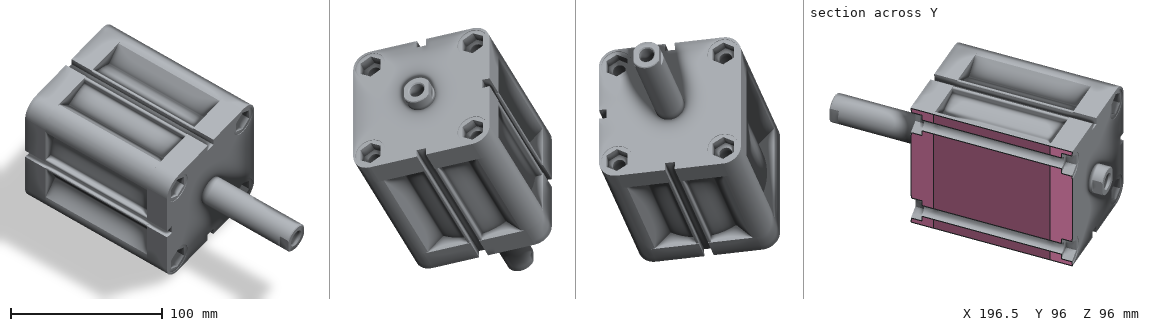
import cadquery as cq
import math


BODY_WIDTH = 96.0
CORNER_RADIUS = 12.0
CAP_THICKNESS = 16.7
TUBE_LENGTH = 83.3
HALF_WIDTH = BODY_WIDTH / 2
BODY_LENGTH = 2 * CAP_THICKNESS + TUBE_LENGTH

POST_CENTRE = HALF_WIDTH - CORNER_RADIUS

SCREW_OFFSET = 36.0
SCREW_HOLE_DIAMETER = 8.6
SEAT_DIAMETER = 20.8
SEAT_DEPTH = 0.4
HEX_ACROSS_FLATS = 14.3
HEX_DEPTH = 7.9
HEX_ACROSS_CORNERS = HEX_ACROSS_FLATS / math.cos(math.pi / 6)

ALL_SIDES = (0, 90, 180, 270)
SLOTTED_SIDES = (90, 180, 270)
SLOT_WIDTH = 6.7
SLOT_DEPTH = 5.3
CAP_MOUTH_WIDTH = 6.3
RAIL_MOUTH_WIDTH = 5.9
RAIL_MOUTH_CHAMFER = 0.4
LIP_THICKNESS = 1.8

BARREL_RADIUS = 43.0
WEB_WIDTH = 20.8
FLANK_FILLET = 1.0
RAIL_WIDTH = 10.5
RAIL_TOP = 47.7
RAIL_ROOT_FILLET = 1.0
RAIL_EDGE_FILLET = 1.0

ROD_DIAMETER = 20.0
ROD_LENGTH = 196.5
ROD_LEFT_REACH = 9.5
ROD_CHAMFER = 0.5
FLAT_LENGTH = 6.9
ACROSS_FLATS = 17.0
BORE_DIAMETER = 10.2
BORE_MOUTH_CHAMFER = 0.8
BORE_DEPTH = 19.6
DRILL_POINT_ANGLE = 118

CUT_MARGIN = 4.0


def yz_plane(x):
    return cq.Workplane("YZ", origin=(x, 0, 0))


def turned_to_side(shape, angle):
    return shape.rotate((0, 0, 0), (1, 0, 0), angle)


def rounded_square_block(x_start, length):
    block = yz_plane(x_start).rect(BODY_WIDTH, BODY_WIDTH).extrude(length)
    return block.edges("|X").fillet(CORNER_RADIUS)


def at_screws(plane):
    return plane.rect(2 * SCREW_OFFSET, 2 * SCREW_OFFSET, forConstruction=True).vertices()


def with_through_holes(body, x_start, length):
    screw_holes = at_screws(yz_plane(x_start)).circle(SCREW_HOLE_DIAMETER / 2).extrude(length)
    rod_hole = yz_plane(x_start).circle(ROD_DIAMETER / 2).extrude(length)
    return body.cut(screw_holes).cut(rod_hole)


def sensor_slot(x_start, length, mouth_width):
    """An undercut slot on the +Y side, open outwards through a slightly narrower mouth."""
    slot_z = SLOT_WIDTH / 2
    mouth_z = mouth_width / 2
    lip_bottom = HALF_WIDTH - LIP_THICKNESS
    edge_points = [
        (HALF_WIDTH - SLOT_DEPTH, slot_z),
        (lip_bottom, slot_z),
        (lip_bottom, mouth_z),
        (HALF_WIDTH + CUT_MARGIN, mouth_z),
    ]
    mirrored_points = [(y, -z) for y, z in reversed(edge_points)]
    return yz_plane(x_start).polyline(edge_points + mirrored_points).close().extrude(length)



def make_left_cap():
    cap = with_through_holes(rounded_square_block(0, CAP_THICKNESS), 0, CAP_THICKNESS)
    slot = sensor_slot(0, CAP_THICKNESS, CAP_MOUTH_WIDTH)
    for side in SLOTTED_SIDES:
        cap = cap.cut(turned_to_side(slot, side))
    seats = at_screws(yz_plane(0)).circle(SEAT_DIAMETER / 2).extrude(SEAT_DEPTH)
    hex_prism = yz_plane(0).polygon(6, HEX_ACROSS_CORNERS).extrude(HEX_DEPTH)
    hex_prism = turned_to_side(hex_prism, 30)
    cap = cap.cut(seats)
    for y in (-SCREW_OFFSET, SCREW_OFFSET):
        for z in (-SCREW_OFFSET, SCREW_OFFSET):
            cap = cap.cut(hex_prism.translate((0, y, z)))
    return cap


def make_right_cap(left_cap):
    return left_cap.mirror("YZ").translate((BODY_LENGTH, 0, 0))



def diagonal_web():
    """A web across the barrel along Y that ends in a round corner post on each side."""
    half_web = WEB_WIDTH / 2
    post_distance = POST_CENTRE * math.sqrt(2)
    flank_end = post_distance + math.sqrt(CORNER_RADIUS**2 - half_web**2)
    tip = post_distance + CORNER_RADIUS
    return (
        yz_plane(CAP_THICKNESS)
        .moveTo(-flank_end, half_web)
        .lineTo(flank_end, half_web)
        .threePointArc((tip, 0), (flank_end, -half_web))
        .lineTo(-flank_end, -half_web)
        .threePointArc((-tip, 0), (-flank_end, half_web))
        .close()
        .extrude(TUBE_LENGTH)
    )


def rail():
    """The rail on the +Y side with rounded outer edges, reaching in to the axis."""
    block = yz_plane(CAP_THICKNESS).center(RAIL_TOP / 2, 0).rect(RAIL_TOP, RAIL_WIDTH).extrude(TUBE_LENGTH)
    return block.edges("|X and >Y").fillet(RAIL_EDGE_FILLET)


def rail_mouth_chamfer():
    """The flared outer end of the slot mouth in the +Y rail."""
    mouth_z = RAIL_MOUTH_WIDTH / 2
    flared_z = mouth_z + RAIL_MOUTH_CHAMFER
    flare_bottom = RAIL_TOP - RAIL_MOUTH_CHAMFER
    corners = [(flare_bottom, -mouth_z), (flare_bottom, mouth_z), (RAIL_TOP, flared_z), (RAIL_TOP, -flared_z)]
    return yz_plane(CAP_THICKNESS).polyline(corners).close().extrude(TUBE_LENGTH)


def fillet_barrel_seam(tube, side, offset, radius):
    """Round the inside corner along the barrel, at a sideways offset from the middle of a side."""
    direction = math.radians(side) + math.asin(offset / BARREL_RADIUS)
    y = BARREL_RADIUS * math.cos(direction)
    z = BARREL_RADIUS * math.sin(direction)
    seam_middle = (CAP_THICKNESS + TUBE_LENGTH / 2, y, z)
    return tube.edges(cq.NearestToPointSelector(seam_middle)).fillet(radius)


def make_tube():
    tube = yz_plane(CAP_THICKNESS).circle(BARREL_RADIUS).extrude(TUBE_LENGTH)
    for diagonal in (45, 135):
        tube = tube.union(turned_to_side(diagonal_web(), diagonal))
    for side in SLOTTED_SIDES:
        tube = tube.union(turned_to_side(rail(), side))

    flank_angle = math.pi / 4 - math.asin(WEB_WIDTH / 2 / BARREL_RADIUS)
    flank_offset = BARREL_RADIUS * math.sin(flank_angle)
    for direction in (-1, 1):
        for side in ALL_SIDES:
            tube = fillet_barrel_seam(tube, side, direction * flank_offset, FLANK_FILLET)
        for side in SLOTTED_SIDES:
            tube = fillet_barrel_seam(tube, side, direction * RAIL_WIDTH / 2, RAIL_ROOT_FILLET)

    slot = sensor_slot(CAP_THICKNESS, TUBE_LENGTH, RAIL_MOUTH_WIDTH)
    for side in SLOTTED_SIDES:
        tube = tube.cut(turned_to_side(slot, side)).cut(turned_to_side(rail_mouth_chamfer(), side))
    return with_through_holes(tube, CAP_THICKNESS, TUBE_LENGTH)



def rod_end_cut():
    """Wrench flats and drilled bore of a rod end whose face is at X = 0, the rod lying at positive X."""
    flat_depth = (ROD_DIAMETER - ACROSS_FLATS) / 2
    flat_block = cq.Workplane("XY").box(FLAT_LENGTH, flat_depth, ROD_DIAMETER, centered=(False, False, True))
    flat = flat_block.translate((0, ACROSS_FLATS / 2, 0))
    bore_radius = BORE_DIAMETER / 2
    point_length = bore_radius / math.tan(math.radians(DRILL_POINT_ANGLE / 2))
    bore = (
        cq.Workplane("XY")
        .lineTo(0, bore_radius + BORE_MOUTH_CHAMFER)
        .lineTo(BORE_MOUTH_CHAMFER, bore_radius)
        .lineTo(BORE_DEPTH, bore_radius)
        .lineTo(BORE_DEPTH + point_length, 0)
        .close()
        .revolve(360, (0, 0, 0), (1, 0, 0))
    )
    return bore.union(flat).union(flat.mirror("XZ"))


def make_rod():
    rod = yz_plane(0).circle(ROD_DIAMETER / 2).extrude(ROD_LENGTH)
    rod = rod.faces("<X or >X").chamfer(ROD_CHAMFER)
    end_cut = rod_end_cut()
    for piece in end_cut.vals():
        rod = rod.cut(cq.Workplane(piece))
        rod = rod.cut(cq.Workplane(piece.mirror("YZ").translate(cq.Vector(ROD_LENGTH, 0, 0))))
    return rod.translate((-ROD_LEFT_REACH, 0, 0))


left_cap = make_left_cap()
right_cap = make_right_cap(left_cap)
tube = make_tube()
rod = make_rod()

result = cq.Compound.makeCompound([left_cap.val(), right_cap.val(), tube.val(), rod.val()])